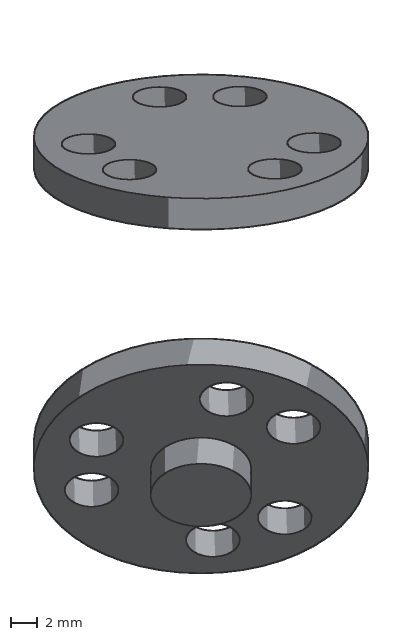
import cadquery as cq

plate_diameter = 25
plate_thickness = 2.5

boss_diameter = 7.5
boss_height = 2.5

hole_diameter = 4
pair_distance = 8
pair_spacing = 6
pair_directions = (30, 150, 270)

plate = cq.Workplane("XY").circle(plate_diameter / 2).extrude(plate_thickness)
boss = cq.Workplane("XY").circle(boss_diameter / 2).extrude(-boss_height)


def hole_pair(direction):
    """Two cutting cylinders set symmetrically about a radial line."""
    return (
        cq.Workplane("XY")
        .pushPoints([(pair_distance, -pair_spacing / 2), (pair_distance, pair_spacing / 2)])
        .circle(hole_diameter / 2)
        .extrude(plate_thickness)
        .rotate((0, 0, 0), (0, 0, 1), direction)
    )


result = plate.union(boss)
for direction in pair_directions:
    result = result.cut(hole_pair(direction))